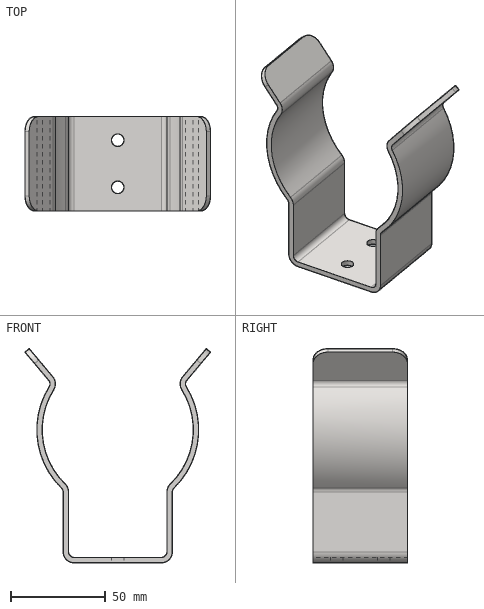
import cadquery as cq
import math

height = 113.5
tip_span = 98.3
clip_width = 50.0
thickness = 3.0

base_width = 57.9
grip_inner_radius = 40.0
grip_center_z = 70.5
lip_angle = math.radians(50)
lip_corner_radius = 8.0

bend_inner_radius = 3.0
bend_outer_radius = bend_inner_radius + thickness

hole_diameter = 6.5
hole_spacing = 25.0

lip_direction = (math.cos(lip_angle), math.sin(lip_angle))
outer_tip = (tip_span / 2, height - thickness * math.cos(lip_angle))
inner_tip = (tip_span / 2 - thickness * math.sin(lip_angle), height)


def neck_point(tip, radius):
    """Point where the lip line, followed down from its tip, meets the grip circle."""
    ux, uz = lip_direction
    x, z = tip[0], tip[1] - grip_center_z
    along = x * ux + z * uz
    distance = along - math.sqrt(along**2 - (x**2 + z**2 - radius**2))
    return (tip[0] - distance * ux, tip[1] - distance * uz)


def face_points(wall_x, radius, tip):
    """Shoulder, grip-arc midpoint and neck on one face of the right-hand sheet."""
    shoulder = (wall_x, grip_center_z - math.sqrt(radius**2 - wall_x**2))
    grip_middle = (radius, grip_center_z)
    return shoulder, grip_middle, neck_point(tip, radius)


def mirrored(point):
    return (-point[0], point[1])


outer_x = base_width / 2
inner_x = outer_x - thickness
outer_shoulder, outer_middle, outer_neck = face_points(
    outer_x, grip_inner_radius + thickness, outer_tip
)
inner_shoulder, inner_middle, inner_neck = face_points(inner_x, grip_inner_radius, inner_tip)
outer_base = (outer_x, 0)
inner_base = (inner_x, thickness)


def sharp_strip():
    """Closed sheet profile with unrounded bends, extruded across the width."""
    profile = (
        cq.Workplane("XZ")
        .moveTo(*mirrored(outer_base))
        .lineTo(*outer_base)
        .lineTo(*outer_shoulder)
        .threePointArc(outer_middle, outer_neck)
        .lineTo(*outer_tip)
        .lineTo(*inner_tip)
        .lineTo(*inner_neck)
        .threePointArc(inner_middle, inner_shoulder)
        .lineTo(*inner_base)
        .lineTo(*mirrored(inner_base))
        .lineTo(*mirrored(inner_shoulder))
        .threePointArc(mirrored(inner_middle), mirrored(inner_neck))
        .lineTo(*mirrored(inner_tip))
        .lineTo(*mirrored(outer_tip))
        .lineTo(*mirrored(outer_neck))
        .threePointArc(mirrored(outer_middle), mirrored(outer_shoulder))
        .close()
    )
    return profile.extrude(clip_width / 2, both=True)


def round_bends(body, corners, radius):
    """Fillet the bend edges at the given corners and at their mirror images."""
    for corner in corners:
        for x, z in (corner, mirrored(corner)):
            edge = cq.selectors.NearestToPointSelector((x, 0, z))
            body = body.edges("|Y").edges(edge).fillet(radius)
    return body


def round_lip_corners(body):
    """Round both free corners of each lip through the sheet thickness."""
    for side in (-1, 1):
        for end in (-1, 1):
            middle = (
                side * (outer_tip[0] + inner_tip[0]) / 2,
                end * clip_width / 2,
                (outer_tip[1] + inner_tip[1]) / 2,
            )
            corner = cq.selectors.NearestToPointSelector(middle)
            body = body.edges(corner).fillet(lip_corner_radius)
    return body


def drill_base(body):
    holes = (
        cq.Workplane("XY")
        .pushPoints([(0, -hole_spacing / 2), (0, hole_spacing / 2)])
        .circle(hole_diameter / 2)
        .extrude(thickness)
    )
    return body.cut(holes)


clip = sharp_strip()
clip = round_bends(clip, (outer_shoulder, outer_neck, inner_base), bend_inner_radius)
clip = round_bends(clip, (inner_shoulder, inner_neck, outer_base), bend_outer_radius)
clip = round_lip_corners(clip)
result = drill_base(clip)